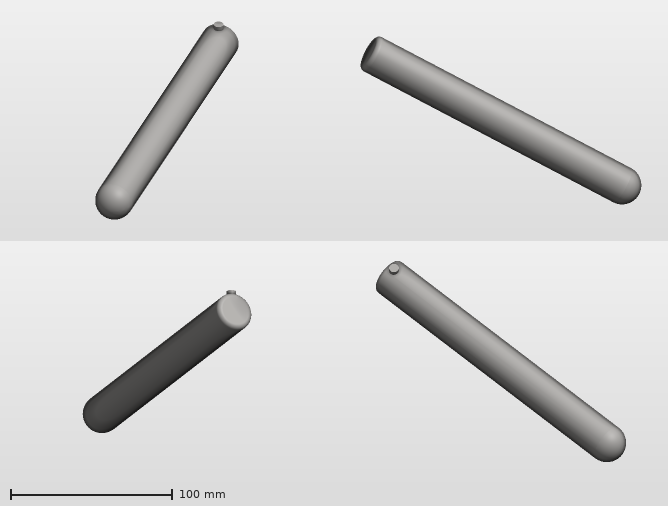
import cadquery as cq

length = 195.0
rod_diameter = 24.0
end_fillet = 3.0
pin_diameter = 6.0
pin_projection = 3.0
pin_from_end = 6.0

rod_radius = rod_diameter / 2


def make_rod():
    """Rod along Y: dome tip at Y = 0, rounded flat end at Y = length."""
    half_profile = (
        cq.Workplane("XY")
        .radiusArc((rod_radius, rod_radius), -rod_radius)
        .lineTo(rod_radius, length)
        .lineTo(0, length)
        .close()
    )
    rod = half_profile.revolve(360, (0, 0, 0), (0, 1, 0))
    return rod.faces(">Y").edges().fillet(end_fillet)


def make_pin():
    """Locating pin rising from the rod axis through the top of the rod."""
    return (
        cq.Workplane("XY", origin=(0, length - pin_from_end, 0))
        .circle(pin_diameter / 2)
        .extrude(rod_radius + pin_projection)
    )


result = make_rod().union(make_pin())